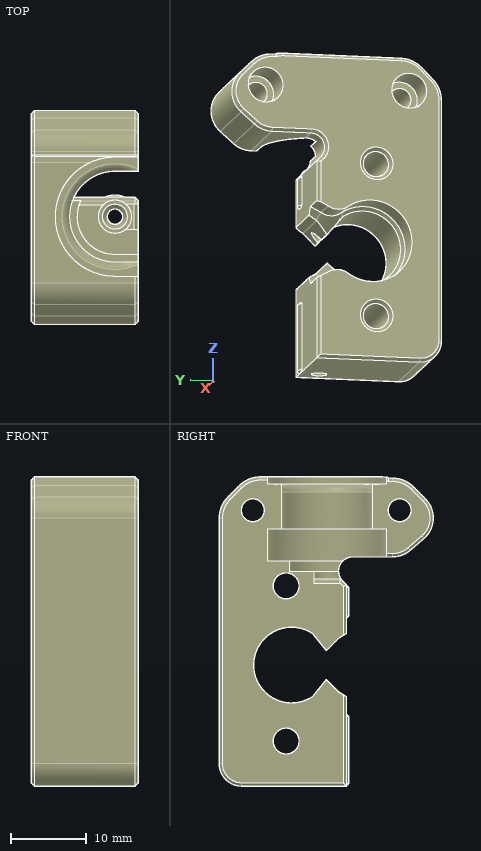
import cadquery as cq
import math

width = 14.2
height = 41.0
edge_chamfer = 0.45
front_y = 16.9
top_corner_cut = 3.85
outer_radius = 4.0
bottom_radius = 3.0
arm_bottom_z = 30.36
arm_top_z = 40.83
ramp_start_y = 21.5
ramp_break_y = 22.26
ramp_break_z = 40.95
ramp_end_y = 22.5
arm_upper_corner_y = 24.6
arm_tip = (30.07, 35.33)
arm_lower_corner_y = 24.31
arm_radius = 3.6
neck_radius = 1.86
neck_shoulder_z = 26.67

arm_hole_z = 36.55
arm_hole_ys = (4.47, 23.92)
arm_hole_diameter = 3.0
arm_bore_diameter = 4.7
arm_bore_depth = 6.0
block_hole_y = 8.88
block_hole_zs = (5.99, 26.54)
block_hole_diameter = 3.4
block_hole_mouth = 4.4

bore_y = 9.6
bore_z = 16.05
wide_bore_depth = 4.44
bore_chamfer_length = 2.1
bore_chamfer_angle = 45
lip_front = front_y - bore_y
wide_keyhole = (5.2, (5.85, 4.46), (4.6, 4.06), 3.1, 5.5)
narrow_keyhole = (4.2, (6.25, 3.55), (4.6, 1.9), 2.8, 5.0)
clearance = 4.0

axis_x = 11.1
axis_y = 14.3
path_diameter = 2.0
funnel_diameter = 3.3
tube_diameter = 4.4
tube_bottom_z = 22.6
flange_radius = 7.9
collar_radius = 6.0
collar_edge_radius = 1.0
collar_top_z = 40.0
collar_bottom_z = 34.1
ledge_z = 29.85
well_radius = 5.0
well_floor_z = 28.45
side_notch_width = 3.4
side_notch_depth = 1.0
side_notch_chamfer = 0.6

boss_radius = 2.9
boss_chamfer = 0.35
lower_boss_top_z = 9.6
upper_boss_bottom_z = 22.2


def rounded_outline(corners):
    """Closed YZ wire through (y, z, radius) corners, each rounded by its own radius."""
    path = cq.Workplane("YZ")
    started = False
    for index, (y, z, radius) in enumerate(corners):
        corner = cq.Vector(y, z)
        previous = corners[index - 1]
        following = corners[(index + 1) % len(corners)]
        toward_previous = (cq.Vector(previous[0], previous[1]) - corner).normalized()
        toward_following = (cq.Vector(following[0], following[1]) - corner).normalized()
        half_angle = toward_previous.getAngle(toward_following) / 2
        setback = radius / math.tan(half_angle)
        start = corner + toward_previous * setback
        end = corner + toward_following * setback
        path = path.lineTo(start.x, start.y) if started else path.moveTo(start.x, start.y)
        started = True
        if radius > 0:
            bisector = (toward_previous + toward_following).normalized()
            middle = corner + bisector * (radius / math.sin(half_angle) - radius)
            path = path.threePointArc((middle.x, middle.y), (end.x, end.y))
    return path.close()


def block():
    """Solid block with the overhanging arm, chamfered along both side faces."""
    neck_corner_y = front_y - (arm_bottom_z - neck_shoulder_z)
    corners = [
        (0, 0, bottom_radius),
        (0, height - top_corner_cut, outer_radius),
        (top_corner_cut, height, outer_radius),
        (ramp_start_y, height, 0),
        (ramp_break_y, ramp_break_z, 0),
        (ramp_end_y, arm_top_z, 0),
        (arm_upper_corner_y, arm_top_z, outer_radius),
        (*arm_tip, arm_radius),
        (arm_lower_corner_y, arm_bottom_z, arm_radius),
        (neck_corner_y, arm_bottom_z, neck_radius),
        (front_y, neck_shoulder_z, 0),
        (front_y, 0, 0),
    ]
    body = rounded_outline(corners).extrude(width)
    return body.faces("<X or >X").edges().chamfer(edge_chamfer)


def boss(bottom_z, top_z):
    """Vertical round boss on the filament axis, chamfered at both ends."""
    return (
        cq.Workplane("XY", origin=(axis_x, axis_y, bottom_z))
        .circle(boss_radius)
        .extrude(top_z - bottom_z)
        .edges()
        .chamfer(boss_chamfer)
    )


def x_cylinder(y, z, diameter, length):
    """Cylinder along X starting at the X = 0 face."""
    return cq.Workplane("YZ", origin=(0, y, z)).circle(diameter / 2).extrude(length)


def arm_hole(y):
    """Through hole with a larger bore entered from the X = 0 face."""
    hole = x_cylinder(y, arm_hole_z, arm_hole_diameter, width)
    return hole.union(x_cylinder(y, arm_hole_z, arm_bore_diameter, arm_bore_depth))


def block_hole(z):
    """Through hole with a 45-degree chamfer at the X = 0 face."""
    mouth_depth = (block_hole_mouth - block_hole_diameter) / 2
    mouth = (
        cq.Workplane("YZ", origin=(0, block_hole_y, z))
        .circle(block_hole_mouth / 2)
        .workplane(offset=mouth_depth)
        .circle(block_hole_diameter / 2)
        .loft(ruled=True)
    )
    return x_cylinder(block_hole_y, z, block_hole_diameter, width).union(mouth)


def keyhole_wire(plane, keyhole, rounded):
    """Closed keyhole wire about the bore axis: a round bore and a mouth pinched by two lips."""
    front_gap, flare, apex, inner_y, radius = keyhole
    slope = (front_gap - flare[1]) / (lip_front - flare[0])
    outside = (lip_front + clearance, front_gap + slope * clearance)
    inner = (inner_y, math.sqrt(radius**2 - inner_y**2))

    def mirrored(point):
        return (point[0], -point[1])

    path = plane.moveTo(*mirrored(outside)).lineTo(*mirrored(flare))
    if rounded:
        path = path.threePointArc(mirrored(apex), mirrored(inner))
    else:
        path = path.lineTo(*mirrored(apex)).lineTo(*mirrored(inner))
    path = path.threePointArc((-radius, 0), inner)
    if rounded:
        path = path.threePointArc(apex, flare)
    else:
        path = path.lineTo(*apex).lineTo(*flare)
    return path.lineTo(*outside).close()


def bore_plane(x):
    """Workplane across the bore axis at the given X."""
    return cq.Workplane("YZ", origin=(x, bore_y, bore_z))


def cross_bore():
    """Narrow sharp-lipped bore right through, widened from X = 0 and chamfered down to it."""
    narrow = keyhole_wire(bore_plane(0), narrow_keyhole, False).extrude(width)
    wide = keyhole_wire(bore_plane(0), wide_keyhole, True).extrude(wide_bore_depth)
    chamfer = keyhole_wire(bore_plane(wide_bore_depth), wide_keyhole, True)
    chamfer = chamfer.extrude(bore_chamfer_length, taper=bore_chamfer_angle)
    return narrow.union(wide).union(chamfer)


def u_slot(radius, bottom_z, top_z):
    """Vertical pocket about the filament axis, running straight out through the +X face."""
    run = width - axis_x + clearance
    depth = top_z - bottom_z
    plane = cq.Workplane("XY", origin=(axis_x, axis_y, bottom_z))
    channel = plane.center(run / 2, 0).rect(run, 2 * radius).extrude(depth)
    return plane.circle(radius).extrude(depth).union(channel)


def collar_rounding():
    """Flared round cutter that rounds the upper edge of the collar."""
    outer = collar_radius + collar_edge_radius
    bottom_z = collar_top_z - collar_edge_radius
    diagonal = collar_edge_radius * math.sqrt(0.5)
    return (
        cq.Workplane("XZ", origin=(axis_x, axis_y, 0))
        .moveTo(0, bottom_z)
        .lineTo(collar_radius, bottom_z)
        .threePointArc((outer - diagonal, bottom_z + diagonal), (outer, collar_top_z))
        .lineTo(0, collar_top_z)
        .close()
        .revolve(360, (0, 0, 0), (0, 1, 0))
    )


def top_pocket():
    """Flanged pocket: recess, collar, flange space and well, one below the other."""
    recess = u_slot(flange_radius, collar_top_z, height + clearance)
    collar = u_slot(collar_radius, collar_bottom_z, collar_top_z)
    flange_space = u_slot(flange_radius, ledge_z, collar_bottom_z)
    well = u_slot(well_radius, well_floor_z, ledge_z)
    return recess.union(collar).union(flange_space).union(well).union(collar_rounding())


def filament_path():
    """Tube bore below the well, a funnel at its end and the thin hole down to the bottom."""
    funnel_bottom_z = tube_bottom_z - (funnel_diameter - path_diameter) / 2
    profile = [
        (0, 0),
        (path_diameter / 2, 0),
        (path_diameter / 2, funnel_bottom_z),
        (funnel_diameter / 2, tube_bottom_z),
        (tube_diameter / 2, tube_bottom_z),
        (tube_diameter / 2, well_floor_z),
        (0, well_floor_z),
    ]
    return (
        cq.Workplane("XZ", origin=(axis_x, axis_y, 0))
        .polyline(profile)
        .close()
        .revolve(360, (0, 0, 0), (0, 1, 0))
    )


def side_notch():
    """Shallow notch from the tube bore through the +X face, its floor chamfered at that face."""
    floor_z = well_floor_z - side_notch_depth
    profile = [
        (axis_x, well_floor_z),
        (axis_x, floor_z),
        (width - side_notch_chamfer, floor_z),
        (width, floor_z - side_notch_chamfer),
        (width, well_floor_z),
    ]
    return (
        cq.Workplane("XZ", origin=(0, axis_y, 0))
        .polyline(profile)
        .close()
        .extrude(side_notch_width / 2, both=True)
    )


result = block()
result = result.union(boss(0, lower_boss_top_z))
result = result.union(boss(upper_boss_bottom_z, neck_shoulder_z))
for hole_y in arm_hole_ys:
    result = result.cut(arm_hole(hole_y))
for hole_z in block_hole_zs:
    result = result.cut(block_hole(hole_z))
for cutter in (cross_bore(), top_pocket(), filament_path(), side_notch()):
    result = result.cut(cutter)